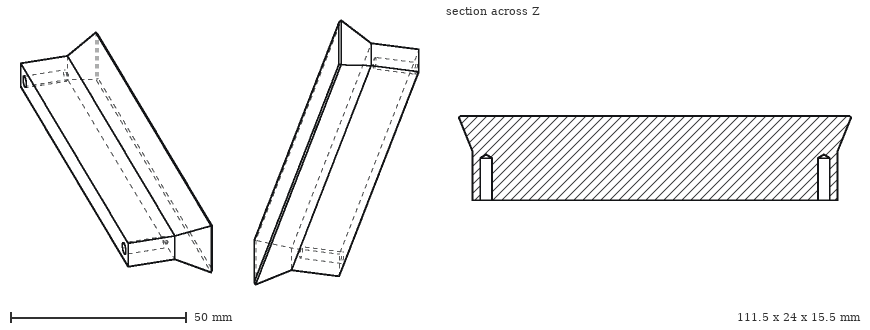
import cadquery as cq
import math

overall_length = 111.5
overall_depth = 24.0
overall_height = 15.5

flare_offset = 3.85
foot_length = overall_length - 2 * flare_offset
foot_height = overall_height - 2 * flare_offset
foot_depth = 13.9

chamfer = 0.5
rim_y = overall_depth - chamfer

hole_spacing = 96.0
hole_diameter = 3.3
hole_depth = 12.0
drill_point_angle = 118.0


def tapered_block(y_start, y_end, start_size, end_size):
    """Solid blending two centred X-Z rectangles along +Y."""
    return (
        cq.Workplane("XZ", origin=(0, y_start, 0))
        .rect(*start_size)
        .workplane(offset=y_start - y_end)
        .rect(*end_size)
        .loft(ruled=True)
    )


def screw_hole(x):
    """Cylinder with a conical tip, entering the foot from Y = 0."""
    radius = hole_diameter / 2
    tip_length = radius / math.tan(math.radians(drill_point_angle / 2))
    return (
        cq.Workplane("XY", origin=(x, 0, 0))
        .moveTo(0, 0)
        .lineTo(radius, 0)
        .lineTo(radius, hole_depth)
        .lineTo(0, hole_depth + tip_length)
        .close()
        .revolve(360, (0, 0, 0), (0, 1, 0))
    )


foot_size = (foot_length, foot_height)
rim_size = (overall_length, overall_height)
rear_size = (overall_length - 2 * chamfer, overall_height - 2 * chamfer)

foot = tapered_block(0, foot_depth, foot_size, foot_size)
grip = tapered_block(foot_depth, rim_y, foot_size, rim_size)
rear_chamfer = tapered_block(rim_y, overall_depth, rim_size, rear_size)

result = foot.union(grip).union(rear_chamfer)
for hole_x in (-hole_spacing / 2, hole_spacing / 2):
    result = result.cut(screw_hole(hole_x))